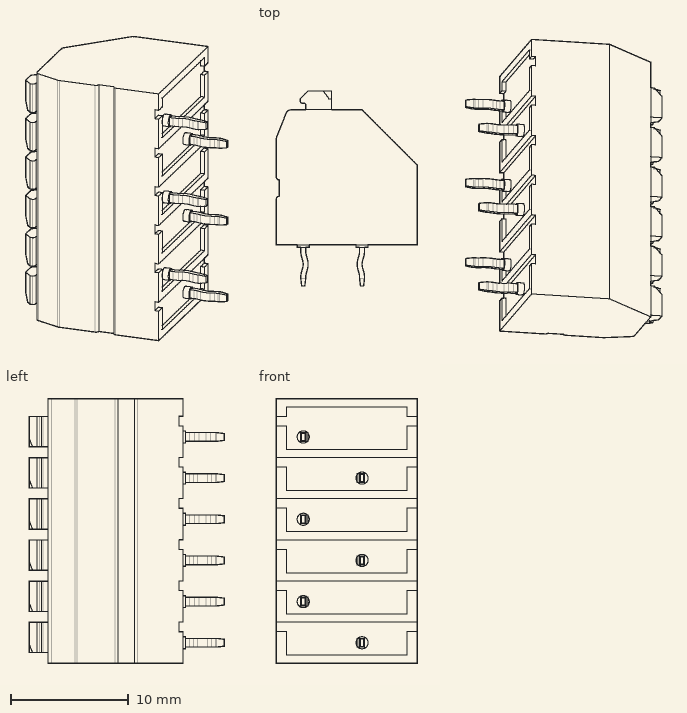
import cadquery as cq
import math

poles = 6
pitch = 3.5
end_wall = 1.5
body_width = 12.0
body_depth = 11.5
row_length = poles * pitch + end_wall

wire_side_chamfer = 4.7
back_slope_width = 0.95
back_slope_start = 9.1
back_slope_radius = 0.45
rail_depth = 0.25
rail_low = 3.9
rail_high = 5.78

relief_depth = 0.35
relief_side_wall = 0.87
relief_rib = 0.7
slot_low = 2.7

button_left = 2.04
button_right = 4.71
button_height = 1.6
button_low = 0.9
button_thickness = 2.6
button_hook_width = 0.46
button_hook_low = 0.54
button_bevel = 0.67
hook_radius = 0.2
hook_root_radius = 0.1
button_root_depth = 1.0
driver_slot_depth = 0.7
driver_slot_width = 1.0
driver_slot_floor = 0.15
driver_slot_start = 2.8
driver_slot_angle = math.radians(55.2)

pin_left = 2.3
pin_row_spacing = 5.0
pin_level = 1.75
pin_length = 3.5
pin_thickness = 0.44
pin_width = 0.76
bend_start = 0.54
bend_length = 2.2
bend_radius = 1.37
bend_angle = math.radians(16)
pin_tip_length = 0.65
pin_tip_thickness = 0.28
pin_tip_width = 0.6
collar_diameter = 1.03
collar_height = 0.2


def box(x0, x1, y0, y1, z0, z1):
    """Axis-aligned block between two corners."""
    return cq.Workplane("XY").box(x1 - x0, y1 - y0, z1 - z0, centered=False).translate((x0, y0, z0))


def make_housing():
    """Prism with two sloped upper corners and a shallow groove along the low-X side."""
    lip_along = rail_depth * math.sqrt(0.5)
    lip_in = rail_depth - lip_along
    housing = (
        cq.Workplane("XY")
        .lineTo(body_width, 0)
        .lineTo(body_width, body_depth - wire_side_chamfer)
        .lineTo(body_width - wire_side_chamfer, body_depth)
        .lineTo(back_slope_width, body_depth)
        .lineTo(0, back_slope_start)
        .lineTo(0, rail_high)
        .threePointArc((lip_in, rail_high - lip_along), (rail_depth, rail_high - rail_depth))
        .lineTo(rail_depth, rail_low + rail_depth)
        .threePointArc((lip_in, rail_low + lip_along), (0, rail_low))
        .close()
        .extrude(row_length)
    )
    slope_ends = [(back_slope_width, body_depth), (0, back_slope_start)]
    for x, y in slope_ends:
        corner = cq.selectors.NearestToPointSelector((x, y, row_length / 2))
        housing = housing.edges("|Z").edges(corner).fillet(back_slope_radius)
    return housing


def make_relief(pole):
    """Pocket in the pin face of one pole, open to both sides through a slot."""
    base = pole * pitch
    pocket_top = base + pitch
    if pole == poles - 1:
        pocket_top = row_length - relief_rib
    pocket = box(relief_side_wall, body_width - relief_side_wall, 0, relief_depth, base + relief_rib, pocket_top)
    slot = box(0, body_width, 0, relief_depth, base + slot_low, base + pitch)
    return pocket.union(slot)


def make_driver_slot():
    """Tapered screwdriver slot running diagonally across the top of a button."""
    across = math.cos(driver_slot_angle)
    upward = math.sin(driver_slot_angle)
    top = body_depth + button_height
    section = cq.Plane(
        origin=(driver_slot_start, top, 0),
        xDir=(upward, 0, -across),
        normal=(across, 0, upward),
    )
    half_mouth = driver_slot_width / 2
    half_floor = driver_slot_floor / 2
    return (
        cq.Workplane(section)
        .moveTo(-half_mouth, 0)
        .lineTo(half_mouth, 0)
        .lineTo(half_floor, -driver_slot_depth)
        .lineTo(-half_floor, -driver_slot_depth)
        .close()
        .extrude(2 * button_thickness, both=True)
    )


def make_button(pole):
    """Hooked release button with a diagonal screwdriver slot in its top."""
    top = body_depth + button_height
    root = body_depth - button_root_depth
    stem_left = button_left + button_hook_width
    hook_low = body_depth + button_hook_low
    bevel_end = button_left + button_bevel
    outline = [
        (stem_left, root),
        (button_right, root),
        (button_right, top),
        (bevel_end, top),
        (button_left, top - button_bevel),
        (button_left, hook_low),
        (stem_left, hook_low),
    ]
    button = cq.Workplane("XY").polyline(outline).close().extrude(button_thickness)
    hook_edge = cq.selectors.NearestToPointSelector((button_left, hook_low, button_thickness / 2))
    button = button.edges("|Z").edges(hook_edge).fillet(hook_radius)
    hook_root = cq.selectors.NearestToPointSelector((stem_left, hook_low, button_thickness / 2))
    button = button.edges("|Z").edges(hook_root).fillet(hook_root_radius)
    button = button.cut(make_driver_slot())
    return button.translate((0, 0, pole * pitch + button_low))


def bent_side(offset):
    """Points of one side of the kinked shank, offset from its centre line toward the kink.

    Returns, from the housing outward, three arcs as (start, middle, end).
    """
    reach = bend_radius * math.sin(bend_angle)
    straight = bend_length / 2 - 2 * reach
    kink = 2 * bend_radius * (1 - math.cos(bend_angle)) + straight * math.tan(bend_angle)
    apex_y = -bend_start - bend_length / 2

    def arc(centre_x, centre_y, radius, angles):
        return [(centre_x + radius * math.cos(t), centre_y + radius * math.sin(t)) for t in angles]

    entry_angles = (math.pi, math.pi + bend_angle / 2, math.pi + bend_angle)
    apex_angles = (bend_angle, 0, -bend_angle)
    exit_angles = (math.pi - bend_angle, math.pi - bend_angle / 2, math.pi)
    return [
        arc(bend_radius, -bend_start, bend_radius - offset, entry_angles),
        arc(kink - bend_radius, apex_y, bend_radius + offset, apex_angles),
        arc(bend_radius, -bend_start - bend_length, bend_radius - offset, exit_angles),
    ]


def make_shank(length):
    """Flat pin shank kinked toward +X, with its root on the relief floor."""
    half = pin_thickness / 2
    profile = cq.Workplane("XY").moveTo(-half, relief_depth)
    for start, middle, end in bent_side(-half):
        profile = profile.lineTo(*start).threePointArc(middle, end)
    profile = profile.lineTo(-half, -length).lineTo(half, -length)
    for start, middle, end in reversed(bent_side(half)):
        profile = profile.lineTo(*end).threePointArc(middle, start)
    return profile.lineTo(half, relief_depth).close().extrude(pin_width / 2, both=True)


def make_pin(pole):
    """Kinked solder pin on a round collar; pins alternate between two columns and kink inward."""
    shank_length = pin_length - pin_tip_length
    tip = (
        cq.Workplane("XZ", origin=(0, -shank_length, 0))
        .rect(pin_thickness, pin_width)
        .workplane(offset=pin_tip_length)
        .rect(pin_tip_thickness, pin_tip_width)
        .loft()
    )
    collar = (
        cq.Workplane("XZ", origin=(0, relief_depth, 0))
        .circle(collar_diameter / 2)
        .extrude(relief_depth + collar_height)
    )
    pin = make_shank(shank_length).union(tip).union(collar)
    column = pin_left
    if pole % 2 == 0:
        pin = pin.mirror("YZ")
        column += pin_row_spacing
    return pin.translate((column, 0, pole * pitch + pin_level))


result = make_housing()
for pole in range(poles):
    result = result.cut(make_relief(pole))
for pole in range(poles):
    result = result.union(make_button(pole)).union(make_pin(pole))